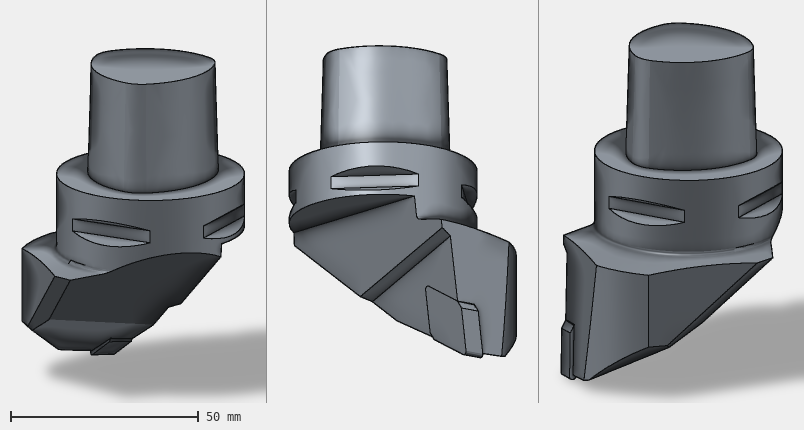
import cadquery as cq
import math


SHANK_HEIGHT = 30.0
LOBE_REACH = 18.5
FLAT_REACH = 16.5
LOBE_RADIUS = 8.3
SHANK_SHRINK = 0.9

COLLAR_RADIUS = 25.0
SHOULDER_Z = -21.1
SHOULDER_ANGLE = 14
NECK_TANGENT = 1.0
HEAD_RADIUS = 35.5
HEAD_BOTTOM = -72
FRONT_FLAT_Y = -30.0

NOTCH_COUNT = 4
NOTCH_Z = -10.1
NOTCH_FLOOR_RADIUS = 22.1
NOTCH_FLOOR_HEIGHT = 3.3
NOTCH_MOUTH_HEIGHT = 6.75

TIP = (-35.1, 0, -60.75)
RAKE_X = 0.11
RAKE_Z = 0.095
INSERT_SIDE = 14.9
INSERT_BEVEL = 1.4
INSERT_ANGLE = 55
INSERT_EDGE_ANGLE = 32.3
INSERT_THICKNESS = 6.4
NOSE_RADIUS = 0.8

CLEARANCE_TOP_Z = -14.7
STEP_SLOPE = 0.375
STEP_LOW = 32.7
STEP_RUN = 1.9
STEP_HEIGHT = 2.8
STOCK_SIZE = 270


def on_rake(x, z):
    """Direction in the rake plane with the given X and Z components."""
    return cq.Vector(x, RAKE_X * x + RAKE_Z * z, z)


RAKE_NORMAL = cq.Vector(-RAKE_X, 1, -RAKE_Z)


def polar(radius, degrees):
    angle = math.radians(degrees)
    return (radius * math.cos(angle), radius * math.sin(angle))


def make_shank():
    lobe_offset = LOBE_REACH - LOBE_RADIUS
    gap = FLAT_REACH - LOBE_RADIUS
    flat_offset = (lobe_offset**2 - gap**2) / (2 * gap - lobe_offset)
    flat_radius = FLAT_REACH + flat_offset
    lobe_x, lobe_y = polar(lobe_offset, -30)
    stretch = flat_radius / (flat_radius - LOBE_RADIUS)
    join_x = lobe_x * stretch
    join_y = flat_offset + (lobe_y - flat_offset) * stretch
    join_radius = math.hypot(join_x, join_y)
    half_flat = 90 + math.degrees(math.atan2(join_y, join_x))

    outline = cq.Workplane("XY").moveTo(*polar(join_radius, -90 - half_flat))
    for flat_angle in (-90, 30, 150):
        outline = outline.threePointArc(
            polar(FLAT_REACH, flat_angle), polar(join_radius, flat_angle + half_flat)
        )
        outline = outline.threePointArc(
            polar(LOBE_REACH, flat_angle + 60), polar(join_radius, flat_angle + 120 - half_flat)
        )
    taper = math.degrees(math.atan(SHANK_SHRINK / SHANK_HEIGHT))
    return outline.close().extrude(SHANK_HEIGHT, taper=taper)


def make_collar_and_head():
    drop = math.tan(math.radians(SHOULDER_ANGLE))
    fillet_dx, fillet_dz = polar(NECK_TANGENT, -SHOULDER_ANGLE)
    head_edge_z = SHOULDER_Z - drop * (HEAD_RADIUS - COLLAR_RADIUS)
    return (
        cq.Workplane("XZ")
        .lineTo(COLLAR_RADIUS, 0)
        .lineTo(COLLAR_RADIUS, SHOULDER_Z + NECK_TANGENT)
        .tangentArcPoint((COLLAR_RADIUS + fillet_dx, SHOULDER_Z + fillet_dz), relative=False)
        .lineTo(HEAD_RADIUS, head_edge_z)
        .lineTo(HEAD_RADIUS, HEAD_BOTTOM)
        .lineTo(0, HEAD_BOTTOM)
        .close()
        .revolve(360, (0, 0, 0), (0, 1, 0))
    )


def make_notch(angle):
    """Trapezoidal groove cut straight across the collar at the given angle."""
    wall_slope = (NOTCH_MOUTH_HEIGHT - NOTCH_FLOOR_HEIGHT) / 2 / (COLLAR_RADIUS - NOTCH_FLOOR_RADIUS)
    depth = 2 * (COLLAR_RADIUS - NOTCH_FLOOR_RADIUS)
    half_floor = NOTCH_FLOOR_HEIGHT / 2
    half_mouth = half_floor + wall_slope * depth
    outer = NOTCH_FLOOR_RADIUS + depth
    return (
        cq.Workplane("XZ")
        .polyline([
            (NOTCH_FLOOR_RADIUS, NOTCH_Z - half_floor),
            (outer, NOTCH_Z - half_mouth),
            (outer, NOTCH_Z + half_mouth),
            (NOTCH_FLOOR_RADIUS, NOTCH_Z + half_floor),
        ])
        .close()
        .extrude(COLLAR_RADIUS, both=True)
        .rotate((0, 0, 0), (0, 0, 1), angle)
    )


def beyond_plane(point, outward):
    """Everything on the outward side of a plane."""
    plane = cq.Plane(origin=point, normal=outward)
    return cq.Workplane(plane).rect(STOCK_SIZE, STOCK_SIZE).extrude(STOCK_SIZE)


def make_chip_clearance():
    step_direction = on_rake(1, -STEP_SLOPE)
    plane = cq.Plane(origin=TIP, xDir=RAKE_NORMAL, normal=step_direction)
    stepped = (
        cq.Workplane(plane)
        .polyline([
            (0, -STOCK_SIZE),
            (0, STEP_LOW),
            (STEP_HEIGHT, STEP_LOW + STEP_RUN),
            (STEP_HEIGHT, STOCK_SIZE),
            (STOCK_SIZE, STOCK_SIZE),
            (STOCK_SIZE, -STOCK_SIZE),
        ])
        .close()
        .extrude(STOCK_SIZE, both=True)
    )
    return stepped.cut(beyond_plane((0, 0, CLEARANCE_TOP_Z), (0, 0, 1)))


def make_insert():
    edge_direction = on_rake(*polar(1, INSERT_EDGE_ANGLE))
    plane = cq.Plane(origin=TIP, xDir=edge_direction, normal=-RAKE_NORMAL)
    side_x, far_y = polar(INSERT_SIDE, INSERT_ANGLE)
    far_x = INSERT_SIDE + side_x
    bevel_x, bevel_y = polar(INSERT_BEVEL, INSERT_ANGLE)
    upper_x, upper_y = polar(INSERT_SIDE - INSERT_BEVEL, INSERT_ANGLE)
    rhombus = (
        cq.Workplane(plane)
        .polyline([
            (0, 0),
            (INSERT_SIDE - INSERT_BEVEL, 0),
            (INSERT_SIDE + bevel_x, bevel_y),
            (far_x, far_y),
            (far_x - INSERT_SIDE + INSERT_BEVEL, far_y),
            (upper_x, upper_y),
        ])
        .close()
        .extrude(INSERT_THICKNESS)
    )
    half_depth = INSERT_THICKNESS / 2
    for corner in ((0, 0, half_depth), (far_x, far_y, half_depth)):
        nose_edge = cq.selectors.NearestToPointSelector(plane.toWorldCoords(corner).toTuple())
        rhombus = rhombus.edges(nose_edge).fillet(NOSE_RADIUS)
    return rhombus


HEAD_FACES = [
    ((0, FRONT_FLAT_Y, 0), (0, -1, 0)),
    ((-32.6, 6.5, -23.1), (-1, -0.095, 0.056)),
    ((COLLAR_RADIUS, 0, -15.0), (0.85, 0, -1)),
    ((10.8, FRONT_FLAT_Y, -22.95), (0.85, -1.5, -1)),
    ((0, FRONT_FLAT_Y, -43.8), (0, -0.91, -1)),
    ((-22.7, 2.1, -52.4), (0.59, -0.062, -1)),
]

insert = make_insert()

holder = make_collar_and_head()
for face_point, face_outward in HEAD_FACES:
    holder = holder.cut(beyond_plane(face_point, face_outward))
holder = holder.cut(make_chip_clearance())
for notch_index in range(NOTCH_COUNT):
    holder = holder.cut(make_notch((notch_index + 0.5) * 360 / NOTCH_COUNT))
holder = holder.union(make_shank()).cut(insert)

result = cq.Compound.makeCompound([holder.solids().val(), insert.solids().val()])